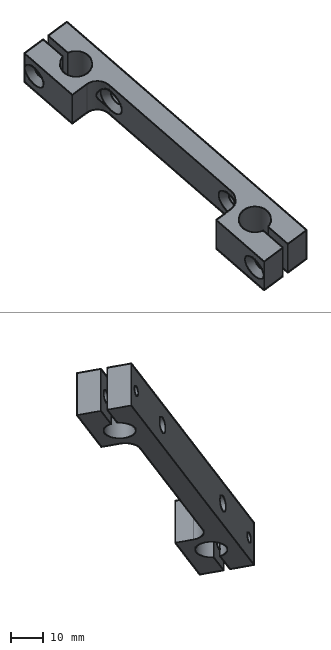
import cadquery as cq

length = 110.0
depth = 18.0
height = 15.0
half_length = length / 2
half_depth = depth / 2
half_height = height / 2

block_length = 22.0
bar_thickness = 7.0
recess_radius = 5.0

rod_diameter = 10.0
rod_x = 41.0
slot_width = 2.1

clamp_screw_x = 50.5
clamp_screw_diameter = 4.1
thread_diameter = 3.3
clamp_head_diameter = 8.6
mount_screw_x = 27.1
mount_screw_diameter = 5.3
mount_head_diameter = 9.7

recess_half_length = half_length - block_length
recess_floor_y = half_depth - bar_thickness


def make_body():
    """Bar with a block at each end and rounded inner corners in the recess."""
    bar = cq.Workplane("XY").box(length, depth, height)
    recess_depth = depth - bar_thickness
    recess = (
        cq.Workplane("XY")
        .box(2 * recess_half_length, recess_depth, height)
        .translate((0, recess_floor_y - recess_depth / 2, 0))
        .edges("|Z and >Y")
        .fillet(recess_radius)
    )
    return bar.cut(recess)


def cut_rod_clamp(body, side):
    """Vertical rod bore and the slot that opens it to the end face."""
    bore = (
        cq.Workplane("XY", origin=(side * rod_x, 0, -half_height))
        .circle(rod_diameter / 2)
        .extrude(height)
    )
    slot_length = half_length - rod_x
    slot = (
        cq.Workplane("XY")
        .box(slot_length, slot_width, height)
        .translate((side * (rod_x + slot_length / 2), 0, 0))
    )
    return body.cut(bore).cut(slot)


def cylinder_along_y(x, start_y, end_y, diameter):
    """Cylinder running from start_y back to end_y."""
    return (
        cq.Workplane("XZ", origin=(x, start_y, 0))
        .circle(diameter / 2)
        .extrude(start_y - end_y)
    )


def cut_countersunk_hole(body, x, face_y, end_y, diameter, head_diameter):
    """Hole along Y with a 90 degree countersink and head clearance in front of face_y."""
    cone_depth = head_diameter / 2
    cone = cq.Solid.makeCone(
        head_diameter / 2, 0, cone_depth, pnt=cq.Vector(x, face_y, 0), dir=cq.Vector(0, 1, 0)
    )
    shank = cylinder_along_y(x, face_y, end_y, diameter)
    body = body.cut(shank).cut(cq.Workplane(cone))
    if face_y > -half_depth:
        body = body.cut(cylinder_along_y(x, face_y, -half_depth, head_diameter))
    return body


result = make_body()
for side in (-1, 1):
    result = cut_rod_clamp(result, side)
    clamp_x = side * clamp_screw_x
    result = cut_countersunk_hole(
        result, clamp_x, -half_depth, 0, clamp_screw_diameter, clamp_head_diameter
    )
    result = result.cut(cylinder_along_y(clamp_x, 0, half_depth, thread_diameter))
    result = cut_countersunk_hole(
        result,
        side * mount_screw_x,
        recess_floor_y,
        half_depth,
        mount_screw_diameter,
        mount_head_diameter,
    )